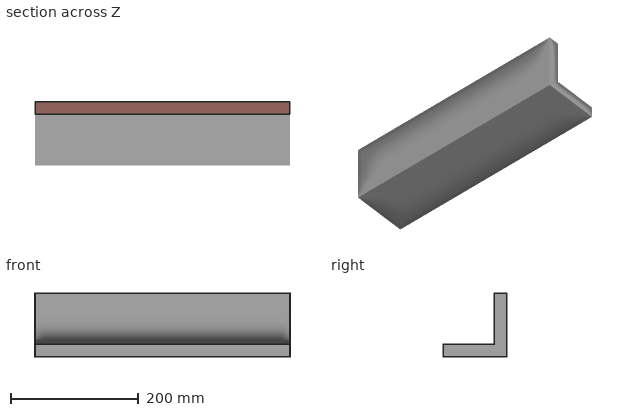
import cadquery as cq

length = 400.0
leg = 100.0
thickness = 20.0

section = [
    (0, 0),
    (leg, 0),
    (leg, leg),
    (leg - thickness, leg),
    (leg - thickness, thickness),
    (0, thickness),
]

result = cq.Workplane("YZ").polyline(section).close().extrude(length)